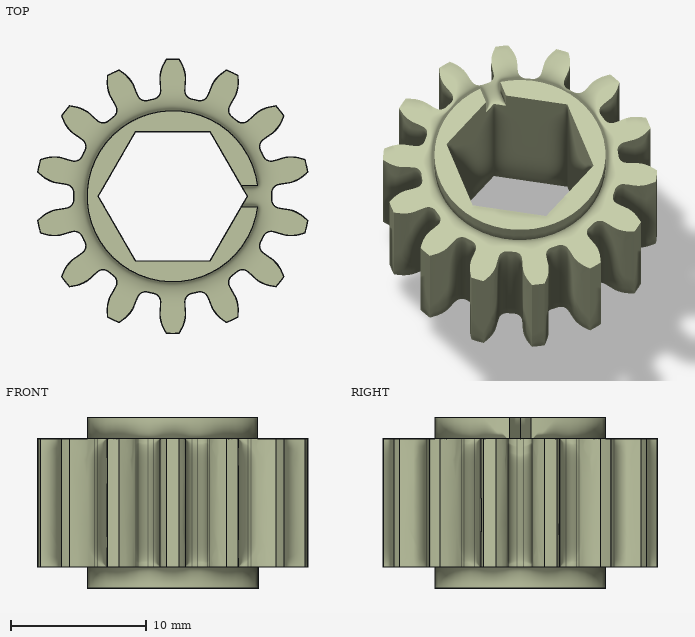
import cadquery as cq
import math

tooth_count = 14
tip_radius = 10.15
root_radius = 7.34
root_fillet = 0.63
face_width = 9.5
hub_diameter = 12.65
total_height = 12.65
hex_across_flats = 9.55
slot_width = 1.58

tip_half_width = 0.478
upper_flank = (0.742, 9.65)
widest_flank = (0.95, 8.75)
lower_flank = (0.91, 8.13)
tooth_base = (0.87, 6.9)

hub_height = (total_height - face_width) / 2
tip_corner = (tip_half_width, math.sqrt(tip_radius**2 - tip_half_width**2))
hex_across_corners = hex_across_flats / math.cos(math.pi / 6)


def mirrored(point):
    return (-point[0], point[1])


def make_tooth():
    """One tooth pointing along +Y, with flanks curved above the root and a cylindrical tip."""
    right_flank = [lower_flank, widest_flank, upper_flank, tip_corner]
    left_flank = [mirrored(point) for point in reversed(right_flank)]
    rise = (lower_flank[0] - tooth_base[0], lower_flank[1] - tooth_base[1])
    tip_slope = (tip_corner[0] - upper_flank[0], tip_corner[1] - upper_flank[1])
    right_tangents = [rise, tip_slope]
    left_tangents = [(tip_slope[0], -tip_slope[1]), (rise[0], -rise[1])]
    return (
        cq.Workplane("XY", origin=(0, 0, -face_width / 2))
        .moveTo(*tooth_base)
        .lineTo(*lower_flank)
        .spline(right_flank[1:], tangents=right_tangents, includeCurrent=True)
        .threePointArc((0, tip_radius), left_flank[0])
        .spline(left_flank[1:], tangents=left_tangents, includeCurrent=True)
        .lineTo(*mirrored(tooth_base))
        .close()
        .extrude(face_width)
    )


def is_tooth_root(edge):
    """True for an edge where a tooth flank meets the root cylinder."""
    center = edge.Center()
    return math.isclose(math.hypot(center.x, center.y), root_radius, abs_tol=0.002)


def make_toothed_body():
    body = (
        cq.Workplane("XY")
        .circle(root_radius)
        .extrude(face_width / 2, both=True)
        .rotate((0, 0, 0), (0, 0, 1), 90)
    )
    tooth = make_tooth()
    for index in range(tooth_count):
        body = body.union(tooth.rotate((0, 0, 0), (0, 0, 1), index * 360 / tooth_count))
    return body.edges("|Z").filter(is_tooth_root).fillet(root_fillet)


hubs = cq.Workplane("XY").circle(hub_diameter / 2).extrude(total_height / 2, both=True)

hex_bore = cq.Workplane("XY").polygon(6, hex_across_corners).extrude(total_height / 2, both=True)

hub_slot = cq.Workplane("XY").box(
    hub_diameter / 2, slot_width, hub_height, centered=(False, True, False)
).translate((0, 0, face_width / 2))

result = make_toothed_body().union(hubs).cut(hex_bore).cut(hub_slot)